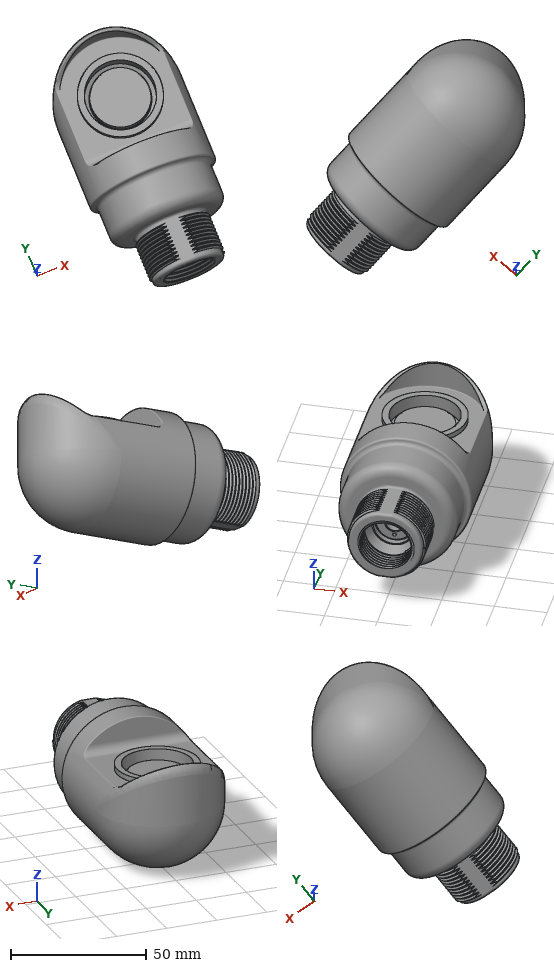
import cadquery as cq
import math

BODY_RADIUS = 24.98
OVERALL_LENGTH = 93.4
FRONT_Y = BODY_RADIUS - OVERALL_LENGTH
BODY_STEP_Y = -33.0
BODY_EDGE_RADIUS = 0.8
COLLAR_RADIUS = 22.5
STEP_FILLET = 1.7
FLANGE_Y = -49.5
COLLAR_FILLET = 4.0

HOOD_EDGE_FILLET = 5.37
HOOD_INNER_RADIUS = 22.6

DECK_Z = 13.0
DECK_FRONT_Y = -21.5
DECK_FRONT_FILLET = 3.5
DECK_REAR_FILLET = 5.4
HOOD_SLOPE_OFFSET = 0.8
DECK_EDGE_FILLET = 0.4

RING_RADIUS = 16.0
RING_TOP_Z = 15.0
RING_BORE_RADIUS = 13.4
RING_CONE_TOP_Z = 9.3
RING_CONE_BOTTOM_RADIUS = 11.7
RING_CONE_BOTTOM_Z = 8.4

SENSOR_RADIUS = 11.4
SENSOR_TOP_Z = 11.4
SENSOR_BOTTOM_Z = -SENSOR_TOP_Z

NECK_RADIUS = 14.1
NECK_ROOT_FILLET = 0.9
NECK_END_FILLET = 1.1
THREAD_CREST_RADIUS = 14.85
THREAD_PITCH = 1.5
THREAD_START_Y = -66.4
THREAD_TURNS = 10
NECK_FLAT_Z = 13.8
THREAD_SINK = 0.1
THREAD_FILL = 0.9

BORE_RADIUS = 9.7
INNER_THREAD_ROOT_RADIUS = 11.0
INNER_THREAD_PITCH = THREAD_PITCH
INNER_THREAD_END_Y = -58.8
INNER_THREAD_OVERLAP = 0.2
INNER_THREAD_PHASE = 90
INNER_THREAD_FILL = 0.97
BORE_CONE_END_Y = -54.2
BORE_CONE_END_RADIUS = 8.1

CONNECTOR_RADIUS = 7.7
CONNECTOR_CHAMFER = 0.75
CONNECTOR_FRONT_Y = -52.3
CONNECTOR_REAR_Y = -37.4
CENTRE_HOLE_RADIUS = 3.4
CENTRE_HOLE_CHAMFER = 0.3
PASSAGE_RADIUS = 3.7
CONTACT_COUNT = 4
CONTACT_CIRCLE_RADIUS = 4.95
CONTACT_RADIUS = 0.7
CONTACT_DEPTH = 3.7

MARGIN = 0.9


def y_cylinder(radius, y_from, y_to):
    """Cylinder around the Y axis between two stations."""
    return cq.Workplane("XZ", origin=(0, y_from, 0)).circle(radius).extrude(y_from - y_to)


def z_cylinder(radius, z_from, z_to):
    """Cylinder around the Z axis between two heights."""
    return cq.Workplane("XY", origin=(0, 0, z_from)).circle(radius).extrude(z_to - z_from)


def helical_ridge(base_radius, tip_radius, base_width, pitch, height):
    """Triangular ridge wound around the Z axis, rising from z = 0."""
    path = cq.Wire.makeHelix(pitch, height, base_radius)
    profile = (
        cq.Workplane("XZ")
        .moveTo(base_radius, -base_width / 2)
        .lineTo(tip_radius, 0)
        .lineTo(base_radius, base_width / 2)
        .close()
    )
    return profile.sweep(cq.Workplane(path), isFrenet=True)


def along_neck(ridge, start_y):
    """Turn a ridge wound around Z so that it winds from start_y toward +Y."""
    return ridge.rotate((0, 0, 0), (1, 0, 0), -90).translate((0, start_y, 0))


def tube():
    """Dome, main cylinder and front collar, turned around Y."""
    rounded_step = BODY_RADIUS - BODY_EDGE_RADIUS
    return (
        cq.Workplane("XY")
        .moveTo(0, BODY_RADIUS)
        .radiusArc((BODY_RADIUS, 0), BODY_RADIUS)
        .lineTo(BODY_RADIUS, BODY_STEP_Y + BODY_EDGE_RADIUS)
        .radiusArc((rounded_step, BODY_STEP_Y), BODY_EDGE_RADIUS)
        .radiusArc((COLLAR_RADIUS, BODY_STEP_Y - STEP_FILLET), -STEP_FILLET)
        .lineTo(COLLAR_RADIUS, FLANGE_Y + COLLAR_FILLET)
        .radiusArc((COLLAR_RADIUS - COLLAR_FILLET, FLANGE_Y), COLLAR_FILLET)
        .lineTo(0, FLANGE_Y)
        .close()
        .revolve(360, (0, 0, 0), (0, 1, 0))
    )


def hood():
    """Upper rear quarter where a vertical cylinder meets the tube's cylinder."""
    quarter = cq.Workplane("XY").box(
        2 * BODY_RADIUS + MARGIN, 2 * BODY_RADIUS, 2 * BODY_RADIUS, centered=(True, False, False)
    )
    block = z_cylinder(BODY_RADIUS, 0, BODY_RADIUS).intersect(y_cylinder(BODY_RADIUS, 0, BODY_RADIUS))
    ridge_side = cq.selectors.BoxSelector((0, MARGIN, MARGIN), (BODY_RADIUS, BODY_RADIUS, BODY_RADIUS))
    return block.intersect(quarter).edges(ridge_side).fillet(HOOD_EDGE_FILLET)


def deck_cutter():
    """Space above the deck, closed by the collar wall in front and the sloped hood behind."""
    slope_foot_y = DECK_Z - HOOD_SLOPE_OFFSET
    top_z = BODY_RADIUS + MARGIN
    half_width = BODY_RADIUS + MARGIN
    return (
        cq.Workplane("YZ", origin=(-half_width, 0, 0))
        .moveTo(DECK_FRONT_Y, top_z)
        .lineTo(DECK_FRONT_Y, DECK_Z)
        .lineTo(slope_foot_y, DECK_Z)
        .lineTo(top_z - HOOD_SLOPE_OFFSET, top_z)
        .close()
        .extrude(2 * half_width)
        .edges(cq.selectors.BoxSelector((-0.9, DECK_FRONT_Y - 0.9, DECK_Z - 0.9), (0.9, DECK_FRONT_Y + 0.9, DECK_Z + 0.9)))
        .fillet(DECK_FRONT_FILLET)
        .edges(cq.selectors.BoxSelector((-0.9, slope_foot_y - 0.9, DECK_Z - 0.9), (0.9, slope_foot_y + 0.9, DECK_Z + 0.9)))
        .fillet(DECK_REAR_FILLET)
    )


def hood_hollow():
    """Vertical hollow that leaves the hood as a thin wall above the deck."""
    hollow = z_cylinder(HOOD_INNER_RADIUS, DECK_Z, BODY_RADIUS + MARGIN)
    hollow = hollow.faces("<Z").edges().fillet(DECK_EDGE_FILLET)
    behind_axis = cq.Workplane("XY").box(
        2 * BODY_RADIUS, BODY_RADIUS, 2 * BODY_RADIUS, centered=(True, False, False)
    )
    return hollow.intersect(behind_axis)


def sensor_seat():
    """Ring bore, cone and well that hold the sensor, turned around Z."""
    return (
        cq.Workplane("XZ")
        .moveTo(0, SENSOR_BOTTOM_Z)
        .lineTo(SENSOR_RADIUS, SENSOR_BOTTOM_Z)
        .lineTo(SENSOR_RADIUS, RING_CONE_BOTTOM_Z)
        .lineTo(RING_CONE_BOTTOM_RADIUS, RING_CONE_BOTTOM_Z)
        .lineTo(RING_BORE_RADIUS, RING_CONE_TOP_Z)
        .lineTo(RING_BORE_RADIUS, RING_TOP_Z + MARGIN)
        .lineTo(0, RING_TOP_Z + MARGIN)
        .close()
        .revolve(360, (0, 0, 0), (0, 1, 0))
    )


def flats_slab():
    """Slab as thick as the neck across its flats, flaring into the flange."""
    root_z = NECK_FLAT_Z + NECK_ROOT_FILLET
    end_z = NECK_FLAT_Z - NECK_END_FILLET
    half = (
        cq.Workplane("YZ", origin=(-BODY_RADIUS, 0, 0))
        .moveTo(FLANGE_Y, 0)
        .lineTo(FLANGE_Y, root_z)
        .radiusArc((FLANGE_Y - NECK_ROOT_FILLET, NECK_FLAT_Z), NECK_ROOT_FILLET)
        .lineTo(FRONT_Y + NECK_END_FILLET, NECK_FLAT_Z)
        .radiusArc((FRONT_Y, end_z), -NECK_END_FILLET)
        .lineTo(FRONT_Y, 0)
        .close()
        .extrude(2 * BODY_RADIUS)
    )
    return half.union(half.mirror("XY"))


def neck():
    """Threaded neck with two opposite flats, an end fillet and a root fillet."""
    root_radius = NECK_RADIUS + NECK_ROOT_FILLET
    end_radius = NECK_RADIUS - NECK_END_FILLET
    core = (
        cq.Workplane("XY")
        .moveTo(0, FLANGE_Y)
        .lineTo(root_radius, FLANGE_Y)
        .radiusArc((NECK_RADIUS, FLANGE_Y - NECK_ROOT_FILLET), -NECK_ROOT_FILLET)
        .lineTo(NECK_RADIUS, FRONT_Y + NECK_END_FILLET)
        .radiusArc((end_radius, FRONT_Y), NECK_END_FILLET)
        .lineTo(0, FRONT_Y)
        .close()
        .revolve(360, (0, 0, 0), (0, 1, 0))
        .intersect(flats_slab())
    )
    sunk_radius = NECK_RADIUS - THREAD_SINK
    sunk_width = THREAD_PITCH * THREAD_FILL
    ridge = helical_ridge(
        sunk_radius, THREAD_CREST_RADIUS, sunk_width, THREAD_PITCH, THREAD_TURNS * THREAD_PITCH
    )
    return core.union(along_neck(ridge, THREAD_START_Y).intersect(flats_slab()))


def neck_bore():
    """Bore, cone, connector seat and cable passage, turned around Y."""
    return (
        cq.Workplane("XY")
        .moveTo(0, FRONT_Y - MARGIN)
        .lineTo(BORE_RADIUS, FRONT_Y - MARGIN)
        .lineTo(BORE_RADIUS, INNER_THREAD_END_Y)
        .lineTo(BORE_CONE_END_RADIUS, BORE_CONE_END_Y)
        .lineTo(CONNECTOR_RADIUS, BORE_CONE_END_Y)
        .lineTo(CONNECTOR_RADIUS, CONNECTOR_REAR_Y)
        .lineTo(PASSAGE_RADIUS, CONNECTOR_REAR_Y)
        .lineTo(PASSAGE_RADIUS, 0)
        .lineTo(0, 0)
        .close()
        .revolve(360, (0, 0, 0), (0, 1, 0))
    )


def inner_thread():
    """Helical groove of the bore, running out through the neck's end face."""
    length = INNER_THREAD_END_Y - FRONT_Y + INNER_THREAD_PITCH / 2
    groove = helical_ridge(
        BORE_RADIUS - INNER_THREAD_OVERLAP,
        INNER_THREAD_ROOT_RADIUS,
        INNER_THREAD_FILL * INNER_THREAD_PITCH,
        INNER_THREAD_PITCH,
        length,
    )
    groove = groove.rotate((0, 0, 0), (0, 0, 1), INNER_THREAD_PHASE)
    return along_neck(groove, FRONT_Y - INNER_THREAD_PITCH / 2)


def make_housing():
    """Tube with hood, deck, sensor ring and threaded neck."""
    shell = tube().union(hood()).cut(deck_cutter())
    shell = shell.cut(hood_hollow()).edges(">Z").fillet(DECK_EDGE_FILLET)
    ring = z_cylinder(RING_RADIUS, DECK_Z, RING_TOP_Z)
    shell = shell.union(ring).cut(sensor_seat())
    return shell.union(neck()).cut(neck_bore()).cut(inner_thread())


def make_sensor():
    """Plain round sensor standing in the seat."""
    return z_cylinder(SENSOR_RADIUS, SENSOR_BOTTOM_Z, SENSOR_TOP_Z)


def make_connector():
    """Round insert with a centre hole and a circle of contact holes."""
    body = y_cylinder(CONNECTOR_RADIUS, CONNECTOR_FRONT_Y, CONNECTOR_REAR_Y)
    body = body.faces("<Y").chamfer(CONNECTOR_CHAMFER)
    body = body.cut(y_cylinder(CENTRE_HOLE_RADIUS, CONNECTOR_FRONT_Y, CONNECTOR_REAR_Y))
    hole_rim = body.faces("<Y").edges("%CIRCLE").edges(cq.selectors.RadiusNthSelector(0))
    body = hole_rim.chamfer(CENTRE_HOLE_CHAMFER)
    contact = y_cylinder(CONTACT_RADIUS, CONNECTOR_FRONT_Y, CONNECTOR_FRONT_Y + CONTACT_DEPTH)
    for index in range(CONTACT_COUNT):
        angle = 2 * math.pi * index / CONTACT_COUNT
        contact_x = CONTACT_CIRCLE_RADIUS * math.cos(angle)
        contact_z = CONTACT_CIRCLE_RADIUS * math.sin(angle)
        body = body.cut(contact.translate((contact_x, 0, contact_z)))
    return body


housing = make_housing()
sensor = make_sensor()
connector = make_connector()

result = cq.Compound.makeCompound([housing.val(), sensor.val(), connector.val()])